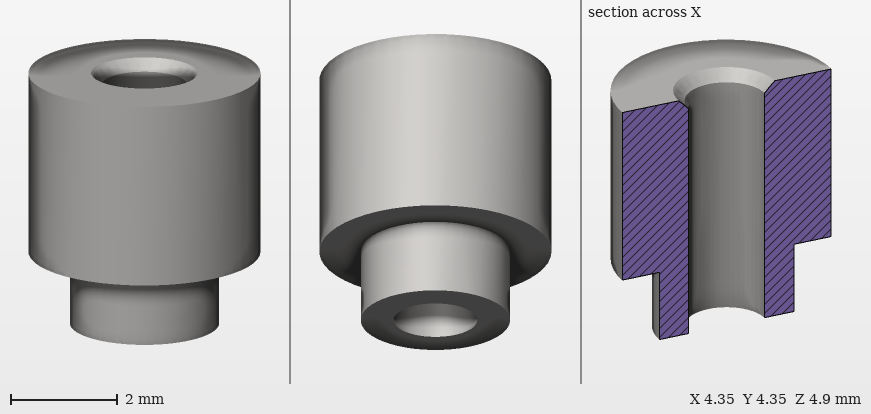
import cadquery as cq

body_diameter = 4.35
body_height = 3.5
spigot_diameter = 2.8
spigot_height = 1.4
bore_diameter = 1.57
bore_mouth_diameter = 2.0

total_height = spigot_height + body_height
mouth_chamfer = (bore_mouth_diameter - bore_diameter) / 2


def make_stepped_body():
    """Narrow spigot standing on Z = 0 with the wider body on top of it."""
    spigot = cq.Workplane("XY").circle(spigot_diameter / 2).extrude(spigot_height)
    return spigot.faces(">Z").workplane().circle(body_diameter / 2).extrude(body_height)


def make_bore():
    """Through bore that widens to a conical mouth at the top face."""
    bore_radius = bore_diameter / 2
    mouth_radius = bore_mouth_diameter / 2
    half_profile = (
        cq.Workplane("XZ")
        .moveTo(0, 0)
        .lineTo(bore_radius, 0)
        .lineTo(bore_radius, total_height - mouth_chamfer)
        .lineTo(mouth_radius, total_height)
        .lineTo(0, total_height)
        .close()
    )
    return half_profile.revolve(360, (0, 0), (0, 1))


result = make_stepped_body().cut(make_bore())